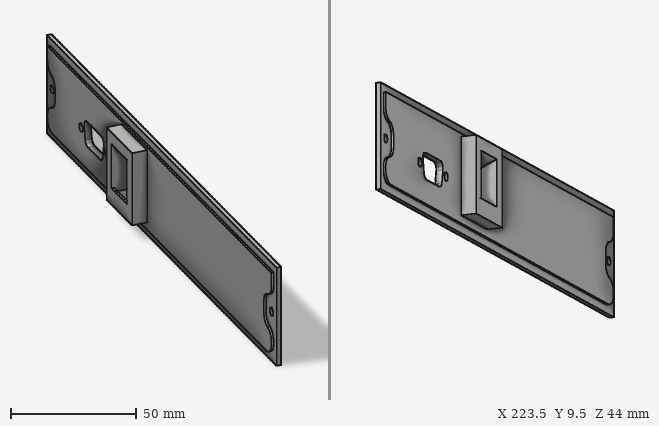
import cadquery as cq
import math

PLATE_LENGTH = 223.5
PLATE_HEIGHT = 44.0
PLATE_THICKNESS = 2.0
TOTAL_DEPTH = 9.5

PAD_THICKNESS = 1.0
PAD_END_MARGIN = 3.0
PAD_HEIGHT = 37.0
NOTCH_DEPTH = 7.4
NOTCH_HEIGHT = 14.8
BEND_RADIUS = 5.0

END_HOLE_DIAMETER = 3.4
END_HOLE_SPACING = 213.5

DSUB_X = -63.7
DSUB_Z = -2.7
DSUB_TOP_WIDTH = 20.1
DSUB_HEIGHT = 11.0
DSUB_DROP = 0.2
DSUB_TAPER = 10.0
DSUB_CORNER_RADIUS = 2.7
DSUB_HOLE_DIAMETER = 3.5
DSUB_HOLE_SPACING = 25.0

HOUSING_X = -24.4
HOUSING_WIDTH = 24.8
HOUSING_BOTTOM = -15.2
HOUSING_TOP = 17.2
JACK_X = -24.5
JACK_WIDTH = 15.0

JACK_BOTTOM = -7.8
JACK_FRONT_TOP = 11.8
JACK_BACK_TOP = 7.8
CATCH_DROP = 2.0
LIP_THICKNESS = 1.1

PAD_LENGTH = PLATE_LENGTH - 2 * PAD_END_MARGIN
PAD_FRONT = -(PLATE_THICKNESS + PAD_THICKNESS)
HOUSING_FRONT = -TOTAL_DEPTH


def block(x_size, z_size, y_front, y_back, x_center=0.0, z_center=0.0):
    """Box given by its X and Z sizes and its Y range."""
    return cq.Workplane("XY").box(x_size, y_back - y_front, z_size).translate(
        (x_center, (y_front + y_back) / 2, z_center)
    )


def round_hole(diameter, x, z):
    """Cylinder along Y that pierces the whole part."""
    return cq.Workplane("XZ").center(x, z).circle(diameter / 2).extrude(TOTAL_DEPTH)


def raised_pad():
    """Pad with square upper corners, rounded lower corners and a notch at each end."""
    pad = block(PAD_LENGTH, PAD_HEIGHT, PAD_FRONT, 0)
    pad = pad.edges("|Y and <Z").fillet(BEND_RADIUS)
    for side in (-1, 1):
        pad = pad.cut(end_notch(side))
    return pad


def end_notch(side):
    """Cutter for one pad end; each flank of the notch is an S of two equal, opposite arcs."""
    outer_x = side * PAD_LENGTH / 2
    middle_x = outer_x - side * NOTCH_DEPTH / 2
    inner_x = outer_x - side * NOTCH_DEPTH
    middle_z = NOTCH_HEIGHT / 2

    bend_angle = math.acos(1 - NOTCH_DEPTH / 2 / BEND_RADIUS)
    bend_height = BEND_RADIUS * math.sin(bend_angle)
    half_bend_x = side * BEND_RADIUS * (1 - math.cos(bend_angle / 2))
    half_bend_z = BEND_RADIUS * math.sin(bend_angle / 2)
    outer_z = middle_z + bend_height
    inner_z = middle_z - bend_height
    outer_arc_point = (outer_x - half_bend_x, outer_z - half_bend_z)
    inner_arc_point = (inner_x + half_bend_x, inner_z + half_bend_z)

    upper_half = (
        cq.Workplane("XZ")
        .moveTo(outer_x, 0)
        .lineTo(outer_x, outer_z)
        .threePointArc(outer_arc_point, (middle_x, middle_z))
        .threePointArc(inner_arc_point, (inner_x, inner_z))
        .lineTo(inner_x, 0)
        .close()
        .extrude(-PAD_FRONT)
    )
    return upper_half.union(upper_half.mirror("XY"))


def dsub_cutter():
    """Trapezoid opening, narrower at the bottom, with rounded corners."""
    bottom_width = DSUB_TOP_WIDTH - 2 * DSUB_HEIGHT * math.tan(math.radians(DSUB_TAPER))
    half_height = DSUB_HEIGHT / 2
    opening = (
        cq.Workplane("XZ")
        .center(DSUB_X, DSUB_Z - DSUB_DROP)
        .polyline(
            [
                (-DSUB_TOP_WIDTH / 2, half_height),
                (DSUB_TOP_WIDTH / 2, half_height),
                (bottom_width / 2, -half_height),
                (-bottom_width / 2, -half_height),
            ]
        )
        .close()
        .extrude(TOTAL_DEPTH)
        .edges("|Y")
        .fillet(DSUB_CORNER_RADIUS)
    )
    for side in (-1, 1):
        opening = opening.union(
            round_hole(DSUB_HOLE_DIAMETER, DSUB_X + side * DSUB_HOLE_SPACING / 2, DSUB_Z)
        )
    return opening


def jack_cutter():
    """Passage with a sloped roof; its floor drops behind a front lip, then rises at 45 degrees."""
    floor = JACK_BOTTOM - CATCH_DROP
    lip_back = HOUSING_FRONT + LIP_THICKNESS
    return (
        cq.Workplane("YZ")
        .workplane(offset=JACK_X - JACK_WIDTH / 2)
        .polyline(
            [
                (HOUSING_FRONT, JACK_FRONT_TOP),
                (HOUSING_FRONT, JACK_BOTTOM),
                (lip_back, JACK_BOTTOM),
                (lip_back, floor),
                (-CATCH_DROP, floor),
                (0, JACK_BOTTOM),
                (0, JACK_BACK_TOP),
            ]
        )
        .close()
        .extrude(JACK_WIDTH)
    )


housing = block(
    HOUSING_WIDTH,
    HOUSING_TOP - HOUSING_BOTTOM,
    HOUSING_FRONT,
    0,
    HOUSING_X,
    (HOUSING_TOP + HOUSING_BOTTOM) / 2,
)
plate = block(PLATE_LENGTH, PLATE_HEIGHT, -PLATE_THICKNESS, 0)
result = plate.union(raised_pad()).union(housing)
result = result.cut(dsub_cutter()).cut(jack_cutter())
for end in (-1, 1):
    result = result.cut(round_hole(END_HOLE_DIAMETER, end * END_HOLE_SPACING / 2, 0))